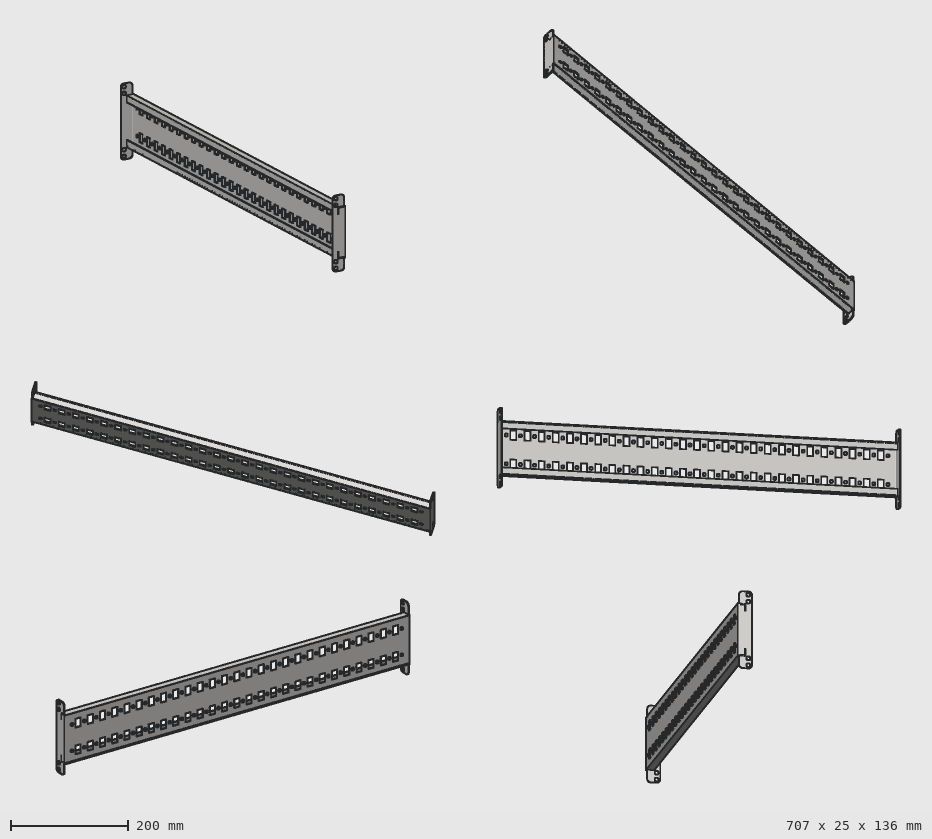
import cadquery as cq

length = 707.0
plate_height = 136.0
total_depth = 25.0

sheet = 2.0
channel_height = 92.5
channel_depth = 14.0
lip_height = 13.0

plate_thickness = sheet
plate_depth = total_depth - sheet
plate_corner_radius = 6.5
plate_hole_diameter = 6.7
plate_hole_y = -6.0
plate_hole_heights = (50.0, 62.0)

weld_radius = 1.05

hole_count = 28
hole_span = 675.0
hole_diameter = 5.3
hole_height = 25.0
slot_width = 10.5
slot_inner_end = 17.0
slot_outer_end = 33.0

hole_pitch = hole_span / (hole_count - 1)
slot_length = slot_outer_end - slot_inner_end
slot_height = (slot_outer_end + slot_inner_end) / 2
back_y = total_depth / 2
plate_y = back_y - sheet - plate_depth / 2
cut_depth = 2 * sheet


def make_channel():
    """C-shaped channel running the full length, open towards the front."""
    channel_y = back_y - channel_depth / 2
    outside = cq.Workplane("XY").box(length, channel_depth, channel_height)
    inside = cq.Workplane("XY").box(length, channel_depth - 2 * sheet, channel_height - 2 * sheet)
    mouth = (
        cq.Workplane("XY")
        .box(length, channel_depth, channel_height - 2 * lip_height)
        .translate((0, -sheet, 0))
    )
    return outside.cut(inside).cut(mouth).translate((0, channel_y, 0))


def perforate_web(channel):
    """Cut the two mirrored rows of holes and slots through the web."""
    hole_points = []
    slot_points = []
    for side in (-1, 1):
        for index in range(hole_count):
            hole_points.append((-hole_span / 2 + index * hole_pitch, side * hole_height))
        for index in range(hole_count - 1):
            slot_points.append((-hole_span / 2 + (index + 0.5) * hole_pitch, side * slot_height))
    web_plane = cq.Workplane("XZ", origin=(0, back_y, 0))
    holes = web_plane.pushPoints(hole_points).circle(hole_diameter / 2).extrude(cut_depth)
    slots = web_plane.pushPoints(slot_points).rect(slot_width, slot_length).extrude(cut_depth)
    return channel.cut(holes).cut(slots)


def make_end_plate(side):
    """Rounded end plate with two mounting holes near its top and two near its bottom."""
    hole_points = []
    for height in plate_hole_heights:
        hole_points.append((plate_hole_y, height))
        hole_points.append((plate_hole_y, -height))
    holes = (
        cq.Workplane("YZ")
        .pushPoints(hole_points)
        .circle(plate_hole_diameter / 2)
        .extrude(plate_thickness / 2, both=True)
    )
    plate = (
        cq.Workplane("XY")
        .box(plate_thickness, plate_depth, plate_height)
        .edges("|X")
        .fillet(plate_corner_radius)
        .translate((0, plate_y, 0))
        .cut(holes)
    )
    return plate.translate((side * (length - plate_thickness) / 2, 0, 0))


def make_weld(side):
    """Concave bead in the corner between the inner face of an end plate and the web."""
    height = channel_height - 2 * sheet
    inner_x = length / 2 - plate_thickness
    web_y = back_y - sheet
    bead = (
        cq.Workplane("XY", origin=(0, 0, -height / 2))
        .moveTo(inner_x, web_y)
        .lineTo(inner_x - weld_radius, web_y)
        .radiusArc((inner_x, web_y - weld_radius), weld_radius)
        .close()
        .extrude(height)
    )
    return bead if side > 0 else bead.mirror("YZ")


result = perforate_web(make_channel())
for end_side in (-1, 1):
    result = result.union(make_end_plate(end_side)).union(make_weld(end_side))